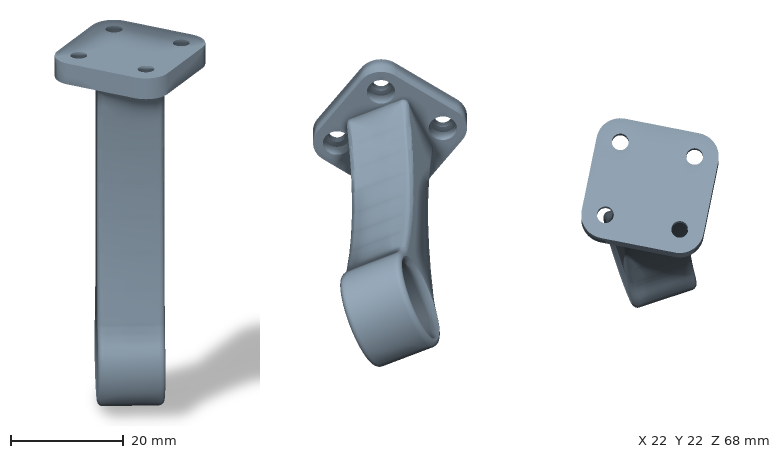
import cadquery as cq
import math

total_height = 68.0
plate_side = 22.0
plate_thickness = 4.0
hole_spacing = 13.45
hole_diameter = 3.0
counterbore_diameter = 5.0
counterbore_depth = 2.5

ring_outer_radius = 9.0
bore_diameter = 14.0
bore_chamfer = 0.95

rod_thickness = 11.95
rod_turn = 30.0
edge_round = 1.0
waist_half_width = 3.95
waist_height = 40.8
neck_top_half_width = 6.2
junction_radius = 11.0

plate_bottom = total_height - plate_thickness
plate_corner_radius = (plate_side - hole_spacing) / 2
ring_height = ring_outer_radius

waist_rise = plate_bottom - waist_height
waist_depth = neck_top_half_width - waist_half_width
neck_radius = (waist_rise**2 + waist_depth**2) / (2 * waist_depth)
neck_centre = (waist_half_width + neck_radius, waist_height)


def point_towards(start, target, distance):
    """Point at a distance from start along the line to target."""
    share = distance / math.dist(start, target)
    return (
        start[0] + share * (target[0] - start[0]),
        start[1] + share * (target[1] - start[1]),
    )


def arc_middle(centre, radius, start, end):
    """Middle of the shorter arc from start to end."""
    chord_middle = ((start[0] + end[0]) / 2, (start[1] + end[1]) / 2)
    return point_towards(centre, chord_middle, radius)


def junction_centre():
    """Centre of the blend that touches the ring from outside and the neck arc from inside."""
    from_ring = ring_outer_radius + junction_radius
    from_neck = neck_radius - junction_radius
    across = neck_centre[0]
    up = neck_centre[1] - ring_height
    apart = math.hypot(across, up)
    angle_cosine = (from_ring**2 + apart**2 - from_neck**2) / (2 * from_ring * apart)
    angle = math.atan2(up, across) + math.acos(angle_cosine)
    return (from_ring * math.cos(angle), ring_height + from_ring * math.sin(angle))


def mirrored(point):
    return (-point[0], point[1])


def make_rod():
    """Ring and waisted neck in one outline, with rounded edges on both faces."""
    ring_centre = (0, ring_height)
    blend = junction_centre()
    ring_end = point_towards(ring_centre, blend, ring_outer_radius)
    neck_end = point_towards(neck_centre, blend, neck_radius)
    blend_middle = arc_middle(blend, junction_radius, ring_end, neck_end)
    neck_top = (neck_top_half_width, plate_bottom)
    neck_middle = (waist_half_width, waist_height)
    rod = (
        cq.Workplane("XZ")
        .moveTo(*mirrored(neck_top))
        .lineTo(*neck_top)
        .threePointArc(neck_middle, neck_end)
        .threePointArc(blend_middle, ring_end)
        .threePointArc((0, 0), mirrored(ring_end))
        .threePointArc(mirrored(blend_middle), mirrored(neck_end))
        .threePointArc(mirrored(neck_middle), mirrored(neck_top))
        .close()
        .extrude(rod_thickness / 2, both=True)
    )
    rod = rod.faces("|Y").edges("not(>Z)").fillet(edge_round)
    bore = (
        cq.Workplane("XZ")
        .center(*ring_centre)
        .circle(bore_diameter / 2)
        .extrude(rod_thickness / 2, both=True)
    )
    return rod.cut(bore).cut(bore_mouth(1)).cut(bore_mouth(-1))


def bore_mouth(side):
    """Conical chamfer cutter for the bore at the +Y (1) or -Y (-1) face."""
    bore_radius = bore_diameter / 2
    face = cq.Vector(0, side * rod_thickness / 2, ring_height)
    inward = cq.Vector(0, -side, 0)
    cone = cq.Solid.makeCone(bore_radius + bore_chamfer, bore_radius, bore_chamfer, face, inward)
    return cq.Workplane(cone)


def make_plate():
    """Mounting flange with holes on its corner centres, counterbored from below."""
    return (
        cq.Workplane("XY", origin=(0, 0, plate_bottom))
        .rect(plate_side, plate_side)
        .extrude(plate_thickness)
        .edges("|Z")
        .fillet(plate_corner_radius)
        .faces("<Z")
        .workplane()
        .rect(hole_spacing, hole_spacing, forConstruction=True)
        .vertices()
        .cboreHole(hole_diameter, counterbore_diameter, counterbore_depth)
    )


rod = make_rod().rotate((0, 0, 0), (0, 0, 1), 90 + rod_turn)
result = make_plate().union(rod)